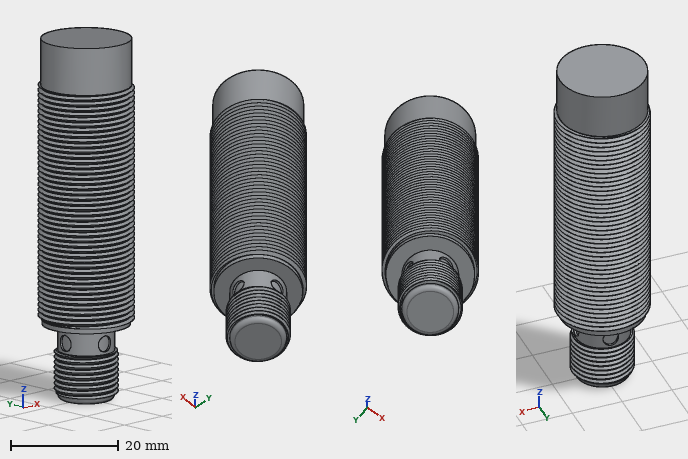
import cadquery as cq
import math

total_length = 69.0
cap_length = 9.0
tip_top = 1.3
end_thread_top = 9.4
collar_bottom = 14.35
collar_top = 15.4
cap_bottom = total_length - cap_length

cap_radius = 8.5

sleeve_diameter = 18.0
sleeve_pitches = 18
end_thread_pitches = 12
pitch = sleeve_diameter / sleeve_pitches
end_thread_diameter = end_thread_pitches * pitch
collar_radius = 8.3
end_root_radius = 5.5
tooth_width = 0.8
tooth_root_overlap = 0.1
lead_in_turns = 2
sleeve_crest_rise = 0.3
end_crest_rise = 0.35

neck_radius = 5.3
tip_fillet = 1.0

window_count = 4
window_diameter = 3.05
window_height = 11.4
window_recess = 0.4
window_depth = 1.05
window_turn = -3.5


def disc(radius, bottom, top):
    """Plain cylinder on the Z axis between two levels."""
    return cq.Workplane("XY").workplane(offset=bottom).circle(radius).extrude(top - bottom)


def threaded_rod(outer_radius, root_radius, bottom, top, crest_rise):
    """Rod with a right-hand helical tooth, its ends cut square at the two levels."""
    base_radius = root_radius - tooth_root_overlap
    half_base = tooth_width / 2 * (outer_radius - base_radius) / (outer_radius - root_radius)
    start = bottom + crest_rise - lead_in_turns * pitch
    helix_length = math.ceil((top - start) / pitch + 1) * pitch
    helix = cq.Wire.makeHelix(pitch, helix_length, root_radius, center=cq.Vector(0, 0, start))
    tooth = (
        cq.Workplane("XZ")
        .moveTo(base_radius, start - half_base)
        .lineTo(outer_radius, start)
        .lineTo(base_radius, start + half_base)
        .close()
        .sweep(cq.Workplane(helix), isFrenet=True)
    )
    rod = disc(root_radius, start - pitch, start + helix_length + pitch).union(tooth)
    return rod.intersect(disc(2 * outer_radius, bottom, top))


def window_plug(angle):
    """Round plug along a radius of the neck, reaching past the neck surface."""
    inner_radius = neck_radius - window_recess - window_depth
    return (
        cq.Workplane("YZ")
        .workplane(offset=inner_radius)
        .center(0, window_height)
        .circle(window_diameter / 2)
        .extrude(window_depth + 2 * window_recess)
        .rotate((0, 0, 0), (0, 0, 1), angle)
    )


cap = disc(cap_radius, cap_bottom, total_length)

sleeve = threaded_rod(sleeve_diameter / 2, collar_radius, collar_top, cap_bottom, sleeve_crest_rise)

neck = disc(collar_radius, collar_bottom, collar_top)
neck = neck.union(disc(neck_radius, end_thread_top, collar_bottom))
window_angles = [window_turn + i * 360 / window_count for i in range(window_count)]
window_face = disc(neck_radius - window_recess, end_thread_top, collar_bottom)
windows = []
for angle in window_angles:
    plug = window_plug(angle)
    neck = neck.cut(plug)
    windows.append(plug.intersect(window_face))

connector_end = threaded_rod(
    end_thread_diameter / 2, end_root_radius, tip_top, end_thread_top, end_crest_rise
)

tip = disc(neck_radius, 0, tip_top).faces("<Z").edges().fillet(tip_fillet)

result = cq.Compound.makeCompound(
    [cap.val(), sleeve.val(), neck.val(), connector_end.val(), tip.val()]
    + [window.val() for window in windows]
)